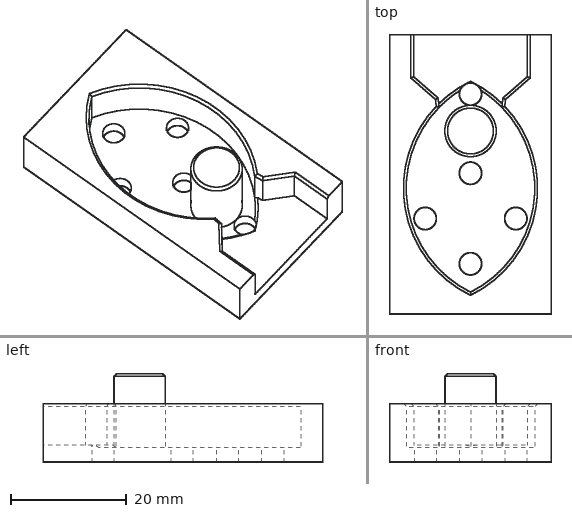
import cadquery as cq
import math

width = 27.95
length = 48.25
block_height = 10.1
edge_chamfer = 0.5
clearance = 0.5

pocket_floor = 2.5
pocket_half_width = 11.1
pocket_radius = 20.05
pocket_center_y = 21.7

channel_floor = pocket_floor + edge_chamfer
channel_half_width = 9.8
channel_shoulder_y = 40.95
throat_half_width = 5.6
throat_y = 37.3
throat_end_half_width = 5.15
throat_end_y = 33.8

pin_diameter = 8.9
pin_top = 15.25
pin_y = 31.6

hole_diameter = 3.8
hole_pitch = 7.8
hole_pattern_y = 16.5
tip_hole_y = 38.0


def pocket_outline(z, growth):
    """Pointed oval at height z, with both arcs moved outward by growth."""
    radius = pocket_radius + growth
    half_width = pocket_half_width + growth
    half_length = math.sqrt(radius**2 - (radius - half_width) ** 2)
    front = (0, pocket_center_y - half_length)
    back = (0, pocket_center_y + half_length)
    return (
        cq.Workplane("XY", origin=(0, 0, z))
        .moveTo(*front)
        .threePointArc((half_width, pocket_center_y), back)
        .threePointArc((-half_width, pocket_center_y), front)
        .close()
    )


def channel_outline(z, growth):
    """Channel outline at height z, with every side moved outward by growth."""
    right_side = [
        (throat_end_half_width, throat_end_y),
        (throat_half_width, throat_y),
        (channel_half_width, channel_shoulder_y),
        (channel_half_width, length + clearance),
    ]
    left_side = [(-x, y) for x, y in reversed(right_side)]
    outline = cq.Workplane("XY", origin=(0, 0, z)).polyline(right_side + left_side).close()
    return outline.offset2D(growth, "intersection") if growth else outline


def edge_flare(outline, top):
    """45-degree flare that chamfers the rim of an opening at height top."""
    lower = outline(top - edge_chamfer, 0).wire().val()
    upper = outline(top, edge_chamfer).wire().val()
    return cq.Workplane(cq.Solid.makeLoft([lower, upper], True))


def recess(outline, floor):
    """Straight-walled recess with a chamfered rim at the block's top face."""
    walls = outline(floor, 0).extrude(block_height - floor)
    return walls.union(edge_flare(outline, block_height))


block = cq.Workplane("XY").box(width, length, block_height, centered=(True, False, False))

channel_span = channel_outline(pocket_floor, 0).extrude(edge_chamfer)
pocket_mouth = edge_flare(pocket_outline, channel_floor).intersect(channel_span)
body = (
    block.cut(recess(pocket_outline, pocket_floor))
    .cut(recess(channel_outline, channel_floor))
    .cut(pocket_mouth)
)

pin = (
    cq.Workplane("XY", origin=(0, pin_y, pocket_floor))
    .circle(pin_diameter / 2)
    .extrude(pin_top - pocket_floor)
    .faces(">Z")
    .chamfer(edge_chamfer)
)

hole_centers = [
    (0, tip_hole_y),
    (0, hole_pattern_y + hole_pitch),
    (0, hole_pattern_y - hole_pitch),
    (hole_pitch, hole_pattern_y),
    (-hole_pitch, hole_pattern_y),
]
holes = cq.Workplane("XY").pushPoints(hole_centers).circle(hole_diameter / 2).extrude(block_height)

result = body.cut(holes).union(pin)